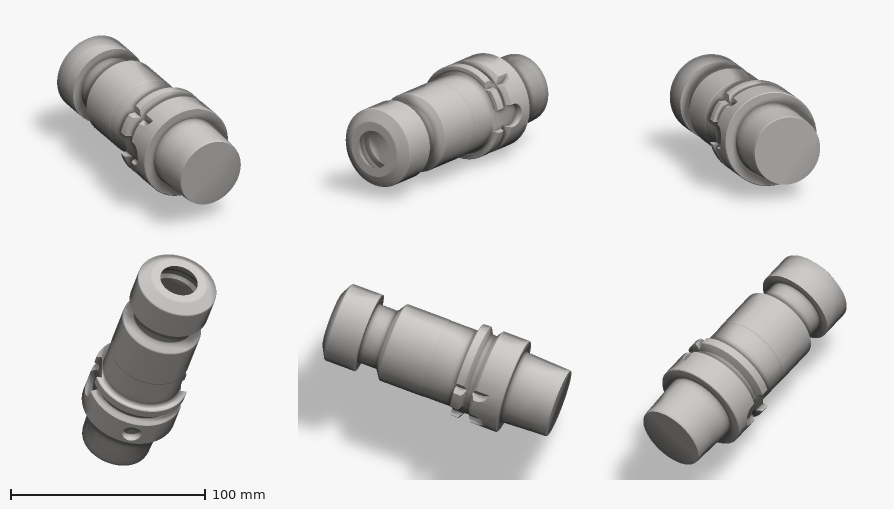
import cadquery as cq
import math

length = 125.0

nut_radius = 21.0
nut_end = 20.0
nose_edge_radius = 15.2
nose_face_radius = 14.6
nose_edge_round = 0.2
nose_cone_end = 3.1
cone_end_radius = 20.5
shoulder_length = 0.8

neck_radius = 16.0
neck_end = 29.9
neck_round_length = 0.6
neck_round_height = 0.4
body_cone_end = 33.2
body_joint = 57.2
joint_width = 0.6
rear_body_radius = 41.6 / 2
rear_body_end = 73.1

flange_radius = 25.0
flange_start = 74.1
flange_end = 100.0
flange_chamfer = 0.4
root_round_end = 74.4
root_round_radius = 21.9
relief_radius = 22.8
groove_radius = 21.5
groove_start = 80.8
groove_end = 83.5
groove_side_radius = 22.5
front_rim_end = 78.8
front_bevel_end = 80.0
rear_bevel_start = 83.6
rear_rim_start = 85.2
rim_edge_chamfer = 0.2

shank_start_radius = 19.2
shank_end_radius = 18.1
shank_chamfer = 1.1
shank_tip_radius = 17.9

mouth_radius = 10.0
chamber_radius = 15.2
chamber_cone_end = (chamber_radius - mouth_radius) / math.tan(math.radians(30))
chamber_end = 11.9
seat_radius = 12.1
seat_end_radius = 9.0
seat_end = chamber_end + (seat_radius - seat_end_radius) / math.tan(math.radians(8))
counterbore_radius = 8.1
counterbore_end = seat_end + 5.0
bore_radius = 7.0
bore_chamfer_end = counterbore_end + counterbore_radius - bore_radius
bore_end = 75.0
bore_tip = bore_end + bore_radius / math.tan(math.radians(59))

slot_floor = 21.0
slot_end = 93.0
slot_corner_radius = 6.0
narrow_slot_width = 2 * slot_corner_radius
wide_slot_width = 14.0
slot_edge_chamfer = 0.2
slot_rim_lowest = 23.8
clearance = 0.1
notch_offset = 15.5
corner_center = slot_end - slot_corner_radius

chip_diameter = 10.0
chip_depth = 4.6
chip_center = 92.8


def revolve(outline):
    return outline.close().revolve(360, (0, 0, 0), (1, 0, 0))


def outer_body():
    outline = (
        cq.Workplane("XY")
        .lineTo(0, nose_face_radius)
        .lineTo(nose_edge_round, nose_edge_radius)
        .lineTo(nose_cone_end, cone_end_radius)
        .tangentArcPoint((nose_cone_end + shoulder_length, nut_radius), relative=False)
        .lineTo(nut_end, nut_radius)
        .lineTo(nut_end, neck_radius)
        .lineTo(neck_end, neck_radius)
        .tangentArcPoint((neck_round_length, neck_round_height))
        .lineTo(body_cone_end, cone_end_radius)
        .tangentArcPoint((body_cone_end + shoulder_length, nut_radius), relative=False)
        .lineTo(body_joint, nut_radius)
        .lineTo(body_joint + joint_width, rear_body_radius)
        .lineTo(rear_body_end, rear_body_radius)
        .tangentArcPoint((root_round_end, root_round_radius), relative=False)
        .lineTo(flange_start, relief_radius)
        .lineTo(flange_start, flange_radius - flange_chamfer)
        .lineTo(flange_start + flange_chamfer, flange_radius)
        .lineTo(front_rim_end - rim_edge_chamfer, flange_radius)
        .lineTo(front_rim_end, flange_radius - rim_edge_chamfer)
        .lineTo(front_bevel_end, groove_side_radius)
        .lineTo(groove_start, groove_radius)
        .lineTo(groove_end, groove_radius)
        .lineTo(rear_bevel_start, groove_side_radius)
        .lineTo(rear_rim_start, flange_radius - rim_edge_chamfer)
        .lineTo(rear_rim_start + rim_edge_chamfer, flange_radius)
        .lineTo(flange_end - flange_chamfer, flange_radius)
        .lineTo(flange_end, flange_radius - flange_chamfer)
        .lineTo(flange_end, shank_start_radius)
        .lineTo(length - shank_chamfer, shank_end_radius)
        .lineTo(length, shank_tip_radius)
        .lineTo(length, 0)
    )
    return revolve(outline)


def collet_seat():
    outline = (
        cq.Workplane("XY")
        .lineTo(0, mouth_radius)
        .lineTo(chamber_cone_end, chamber_radius)
        .lineTo(chamber_end, chamber_radius)
        .lineTo(chamber_end, seat_radius)
        .lineTo(seat_end, seat_end_radius)
        .lineTo(seat_end, counterbore_radius)
        .lineTo(counterbore_end, counterbore_radius)
        .lineTo(bore_chamfer_end, bore_radius)
        .lineTo(bore_end, bore_radius)
        .lineTo(bore_tip, 0)
    )
    return revolve(outline)


def driving_slot(width, side):
    """Slot across the flange rim with rounded inner corners; side is -1 or +1 along Y."""
    flat_half_width = width / 2 - slot_corner_radius
    outline = (
        cq.Workplane("XZ")
        .moveTo(rear_body_end, -width / 2)
        .lineTo(corner_center, -width / 2)
        .radiusArc((slot_end, -flat_half_width), -slot_corner_radius)
    )
    if flat_half_width > 0:
        outline = outline.lineTo(slot_end, flat_half_width)
    outline = (
        outline.radiusArc((corner_center, width / 2), -slot_corner_radius)
        .lineTo(rear_body_end, width / 2)
        .close()
    )
    slot = outline.extrude(-side * (flange_radius - slot_floor))
    return slot.translate((0, side * slot_floor, 0))


def chamfer_slot_rims(body):
    """Chamfer the slot edges that lie on the outer cylinder of the flange."""
    for side in (-1, 1):
        region = cq.selectors.BoxSelector(
            (flange_start, side * slot_rim_lowest, -wide_slot_width / 2 - clearance),
            (slot_end + clearance, side * (flange_radius + clearance), wide_slot_width / 2 + clearance),
        )
        bevel_crossings = cq.selectors.TypeSelector("HYPERBOLA")
        body = body.edges(region - bevel_crossings).chamfer(slot_edge_chamfer)
    return body


def orientation_notch():
    """Square corner notch on the -Y, +Z side of the rim, ending in an upward arc."""
    arc_center_z = notch_offset + slot_corner_radius
    outline = (
        cq.Workplane("XZ", origin=(0, -notch_offset, 0))
        .moveTo(rear_body_end, notch_offset)
        .lineTo(corner_center, notch_offset)
        .radiusArc((slot_end, arc_center_z), -slot_corner_radius)
        .lineTo(slot_end, flange_radius)
        .lineTo(rear_body_end, flange_radius)
        .close()
    )
    return outline.extrude(flange_radius - notch_offset)


def chip_pocket():
    pocket = cq.Workplane("XY", origin=(chip_center, 0, -flange_radius))
    return pocket.circle(chip_diameter / 2).extrude(chip_depth)


slotted_body = (
    outer_body()
    .cut(driving_slot(narrow_slot_width, -1))
    .cut(driving_slot(wide_slot_width, 1))
)
result = (
    chamfer_slot_rims(slotted_body)
    .cut(collet_seat())
    .cut(orientation_notch())
    .cut(chip_pocket())
)